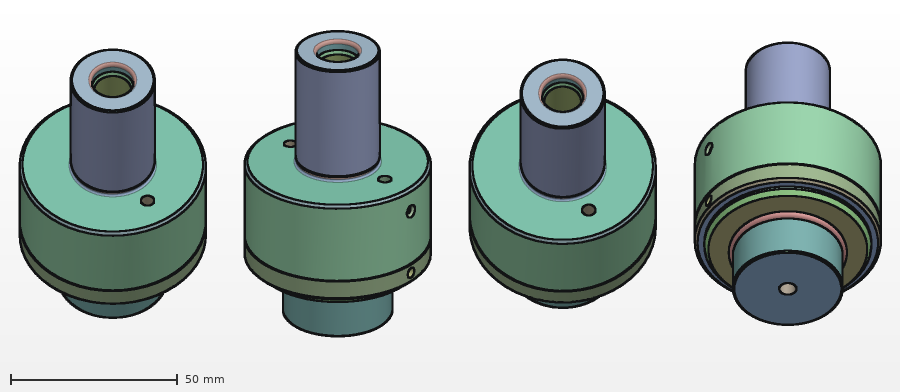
import cadquery as cq
import math

TOTAL_HEIGHT = 89.0
BODY_TOP = 51.1
BODY_BOTTOM = 18.7
COLLAR_BOTTOM = 16.0

BODY_DIAMETER = 56.0
BODY_CHAMFER = 0.9
SEAM_Z = 25.4
SEAM_WIDTH = 0.2
SEAM_DEPTH = 0.2

COLLAR_DIAMETER = 50.2
COLLAR_BEVEL_HEIGHT = 1.7
COLLAR_BEVEL_WIDTH = 1.25

SPIGOT_DIAMETER = 33.0
SPIGOT_CHAMFER = 0.45
RING_SECTION_RADIUS = 1.25

SHAFT_DIAMETER = 25.4
SHAFT_CHAMFER = 0.45
RELIEF_DIAMETER = 25.0
RELIEF_TOP = 52.95
RELIEF_TAPER_HEIGHT = 0.45
RELIEF_FILLET = 0.6

MOUTH_DIAMETER = 14.4
MOUTH_DEPTH = 1.2
MOUTH_ROUNDING = 1.25
ENTRY_DIAMETER = 12.5
ENTRY_DEPTH = 3.2
MAIN_BORE_DIAMETER = 11.0
MAIN_BORE_START = 4.4
MAIN_BORE_DEPTH = 26.7
LOWER_BORE_DIAMETER = 9.0
LOWER_BORE_DEPTH = 32.0
LOWER_BORE_CHAMFER = 0.4
THROUGH_DIAMETER = 5.2

PIN_HOLE_DIAMETER = 4.0
PIN_HOLE_OFFSET = 18.0
PIN_HOLE_DEPTH = 7.1

UPPER_HOLE_Z = 43.4
UPPER_HOLE_DIAMETER = 4.0
UPPER_HOLE_CONE_DEPTH = 1.1
UPPER_DRILL_DIAMETER = 2.1
UPPER_DRILL_DEPTH = 7.1

LOWER_HOLE_Z = 22.4
LOWER_HOLE_DIAMETER = 3.2
LOWER_HOLE_DEPTH = 4.45
DRILL_POINT_ANGLE = 118.0


def make_outer_solid():
    """Revolve the outer profile: spigot, ring, collar, body, relief and shaft."""
    spigot_radius = SPIGOT_DIAMETER / 2
    collar_radius = COLLAR_DIAMETER / 2
    body_radius = BODY_DIAMETER / 2
    relief_radius = RELIEF_DIAMETER / 2
    shaft_radius = SHAFT_DIAMETER / 2
    profile = (
        cq.Workplane("XZ")
        .moveTo(0, 0)
        .lineTo(spigot_radius - SPIGOT_CHAMFER, 0)
        .lineTo(spigot_radius, SPIGOT_CHAMFER)
        .lineTo(spigot_radius, COLLAR_BOTTOM - 2 * RING_SECTION_RADIUS)
        .threePointArc(
            (spigot_radius + RING_SECTION_RADIUS, COLLAR_BOTTOM - RING_SECTION_RADIUS),
            (spigot_radius, COLLAR_BOTTOM),
        )
        .lineTo(collar_radius - COLLAR_BEVEL_WIDTH, COLLAR_BOTTOM)
        .lineTo(collar_radius, COLLAR_BOTTOM + COLLAR_BEVEL_HEIGHT)
        .lineTo(collar_radius, BODY_BOTTOM)
        .lineTo(body_radius - BODY_CHAMFER, BODY_BOTTOM)
        .lineTo(body_radius, BODY_BOTTOM + BODY_CHAMFER)
        .lineTo(body_radius, BODY_TOP - BODY_CHAMFER)
        .lineTo(body_radius - BODY_CHAMFER, BODY_TOP)
        .lineTo(relief_radius + RELIEF_FILLET, BODY_TOP)
        .radiusArc((relief_radius, BODY_TOP + RELIEF_FILLET), RELIEF_FILLET)
        .lineTo(relief_radius, RELIEF_TOP - RELIEF_TAPER_HEIGHT)
        .lineTo(shaft_radius, RELIEF_TOP)
        .lineTo(shaft_radius, TOTAL_HEIGHT - SHAFT_CHAMFER)
        .lineTo(shaft_radius - SHAFT_CHAMFER, TOTAL_HEIGHT)
        .lineTo(0, TOTAL_HEIGHT)
        .close()
    )
    return profile.revolve(360, (0, 0), (0, 1))


def make_seam_groove():
    """Narrow groove around the body where its two halves meet."""
    return (
        cq.Workplane("XY", origin=(0, 0, SEAM_Z - SEAM_WIDTH / 2))
        .circle(BODY_DIAMETER / 2 + SEAM_DEPTH)
        .circle(BODY_DIAMETER / 2 - SEAM_DEPTH)
        .extrude(SEAM_WIDTH)
    )


def make_bore():
    """Revolve the stepped bore with its rounded mouth."""
    entry_radius = ENTRY_DIAMETER / 2
    main_radius = MAIN_BORE_DIAMETER / 2
    lower_radius = LOWER_BORE_DIAMETER / 2
    through_radius = THROUGH_DIAMETER / 2
    ledge_z = TOTAL_HEIGHT - MAIN_BORE_DEPTH
    floor_z = TOTAL_HEIGHT - LOWER_BORE_DEPTH
    profile = (
        cq.Workplane("XZ")
        .moveTo(0, TOTAL_HEIGHT)
        .lineTo(MOUTH_DIAMETER / 2, TOTAL_HEIGHT)
        .radiusArc((entry_radius, TOTAL_HEIGHT - MOUTH_DEPTH), -MOUTH_ROUNDING)
        .lineTo(entry_radius, TOTAL_HEIGHT - ENTRY_DEPTH)
        .lineTo(main_radius, TOTAL_HEIGHT - MAIN_BORE_START)
        .lineTo(main_radius, ledge_z)
        .lineTo(lower_radius, ledge_z)
        .lineTo(lower_radius, floor_z + LOWER_BORE_CHAMFER)
        .lineTo(lower_radius - LOWER_BORE_CHAMFER, floor_z)
        .lineTo(through_radius, floor_z)
        .lineTo(through_radius, 0)
        .lineTo(0, 0)
        .close()
    )
    return profile.revolve(360, (0, 0), (0, 1))


def make_pin_holes():
    """Two blind holes in the top face of the body."""
    return (
        cq.Workplane("XY", origin=(0, 0, BODY_TOP))
        .pushPoints([(-PIN_HOLE_OFFSET, 0), (PIN_HOLE_OFFSET, 0)])
        .circle(PIN_HOLE_DIAMETER / 2)
        .extrude(-PIN_HOLE_DEPTH)
    )


def make_radial_hole(height, profile_points):
    """Round hole along +X; each point is (depth below the body side, radius)."""
    return (
        cq.Workplane("XZ", origin=(-BODY_DIAMETER / 2, 0, height))
        .polyline(profile_points)
        .close()
        .revolve(360, (0, 0), (1, 0))
    )


def make_upper_hole():
    """Narrow drilling with a conical countersink."""
    rim_radius = UPPER_HOLE_DIAMETER / 2
    drill_radius = UPPER_DRILL_DIAMETER / 2
    return make_radial_hole(
        UPPER_HOLE_Z,
        [
            (0, 0),
            (0, rim_radius),
            (UPPER_HOLE_CONE_DEPTH, drill_radius),
            (UPPER_DRILL_DEPTH, drill_radius),
            (UPPER_DRILL_DEPTH, 0),
        ],
    )


def make_lower_hole():
    """Blind hole ending in a drill point."""
    radius = LOWER_HOLE_DIAMETER / 2
    point_length = radius / math.tan(math.radians(DRILL_POINT_ANGLE / 2))
    return make_radial_hole(
        LOWER_HOLE_Z,
        [
            (0, 0),
            (0, radius),
            (LOWER_HOLE_DEPTH, radius),
            (LOWER_HOLE_DEPTH + point_length, 0),
        ],
    )


result = (
    make_outer_solid()
    .cut(make_seam_groove())
    .cut(make_bore())
    .cut(make_pin_holes())
    .cut(make_upper_hole())
    .cut(make_lower_hole())
)